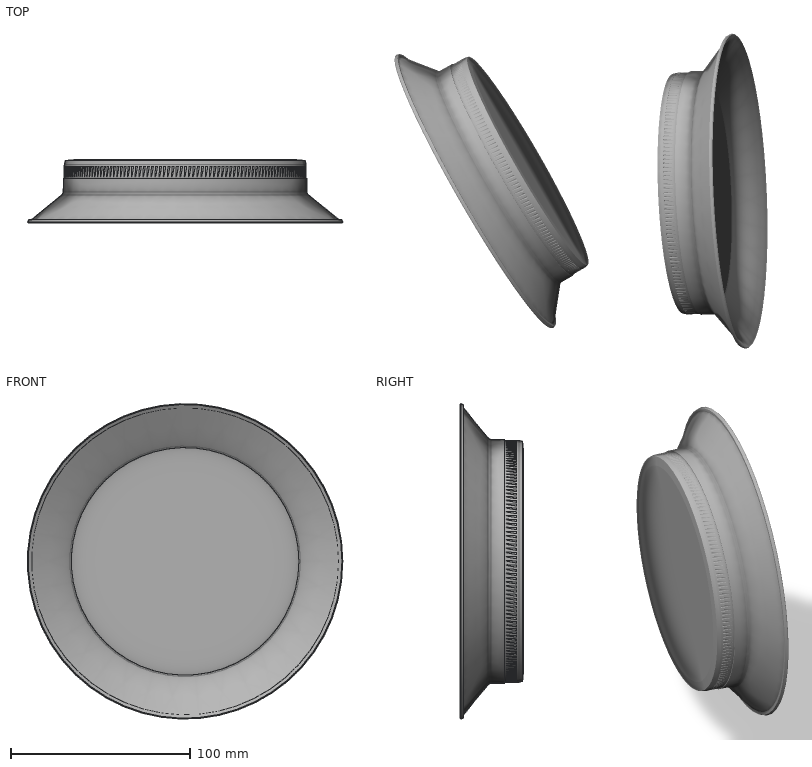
import cadquery as cq

depth = 35.42

rim_radius = 176 / 2
rim_thickness = 2.0
rim_edge_chamfer = 0.5
rim_back_radius = 87.4
flare_outer_radius = 85.7

neck_radius = 136.13 / 2
neck_start = 16.35
neck_end = 24.8
neck_fillet = 2.2
selection_margin = 0.1

band_radius = 135 / 2
band_end = 32.8
back_edge_radius = 134 / 2
back_edge_start = 34.9
back_face_radius = 123.5 / 2

mouth_radius = 87.5
floor_depth = 16.0
floor_edge_radius = 64.3
floor_radius = 63.5
floor_edge_step = 0.4

flute_count = 180
flute_back = 31.6
flute_front = 25.7
flute_radius = 0.7
flute_depth = 0.3
flute_lean = 0.7


def turned_body():
    """Solid of revolution about Y, profile points are (radius, Y), with the neck corner filleted."""
    profile = (
        cq.Workplane("XY")
        .moveTo(0, floor_depth)
        .lineTo(floor_radius, floor_depth)
        .lineTo(floor_edge_radius, floor_depth - floor_edge_step)
        .lineTo(mouth_radius, 0)
        .lineTo(rim_radius, rim_edge_chamfer)
        .lineTo(rim_back_radius, rim_thickness)
        .lineTo(flare_outer_radius, rim_thickness)
        .lineTo(neck_radius, neck_start)
        .lineTo(neck_radius, neck_end)
        .lineTo(band_radius, neck_end)
        .lineTo(band_radius, band_end)
        .lineTo(back_edge_radius, back_edge_start)
        .lineTo(back_face_radius, depth)
        .lineTo(0, depth)
        .close()
    )
    body = profile.revolve(360, (0, 0, 0), (0, 1, 0))
    reach = neck_radius + selection_margin
    corner = cq.selectors.BoxSelector(
        (-reach, neck_start - selection_margin, -reach),
        (reach, neck_start + selection_margin, reach),
        boundingbox=True,
    )
    return body.edges(corner).fillet(neck_fillet).val()


def flute_cutter():
    """Tilted cylinder on the +Z side of the band that surfaces at the front end of the flute."""
    surface_height = band_radius + flute_radius
    back_end = cq.Vector(flute_lean / 2, flute_back, surface_height - flute_depth)
    front_end = cq.Vector(-flute_lean / 2, flute_front, surface_height)
    axis = front_end - back_end
    return cq.Solid.makeCylinder(flute_radius, axis.Length, back_end, axis)


def knurl_cutters():
    flute = flute_cutter()
    pitch = 360 / flute_count
    return [flute.rotate((0, 0, 0), (0, 1, 0), i * pitch) for i in range(flute_count)]


result = cq.Workplane(turned_body().cut(*knurl_cutters()))